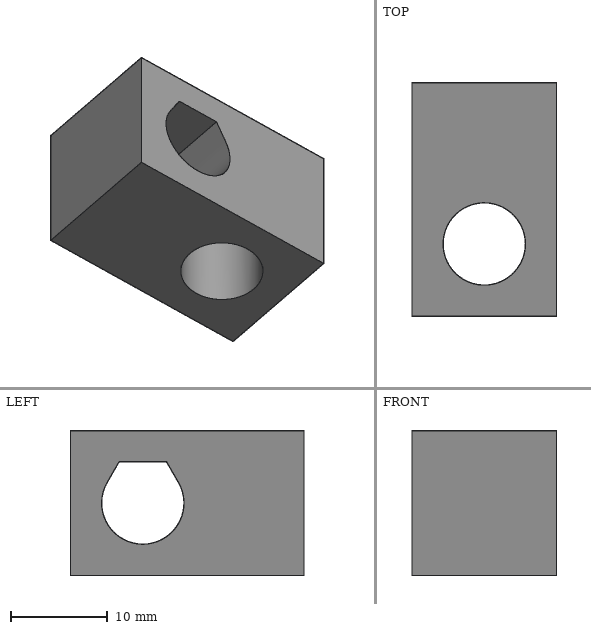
import cadquery as cq
import math

length = 24.2
width = 15.0
hole_diameter = 8.5
roof_angle = math.radians(30)

hole_radius = hole_diameter / 2
hole_offset = (length - width) / 2


def round_hole():
    """Vertical through hole near the -Y end."""
    return cq.Workplane("XY").center(0, -hole_offset).circle(hole_radius).extrude(width, both=True)


def teardrop_hole():
    """Through hole along X near the +Y end, with tangent sides and a flat roof."""
    tangent_y = hole_radius * math.cos(roof_angle)
    tangent_z = hole_radius * math.sin(roof_angle)
    apex_z = hole_radius / math.sin(roof_angle)
    roof_half_width = (apex_z - hole_radius) * math.tan(roof_angle)
    return (
        cq.Workplane("YZ")
        .center(hole_offset, 0)
        .moveTo(-tangent_y, tangent_z)
        .threePointArc((0, -hole_radius), (tangent_y, tangent_z))
        .lineTo(roof_half_width, hole_radius)
        .lineTo(-roof_half_width, hole_radius)
        .close()
        .extrude(width, both=True)
    )


block = cq.Workplane("XY").box(width, length, width)
result = block.cut(round_hole()).cut(teardrop_hole())